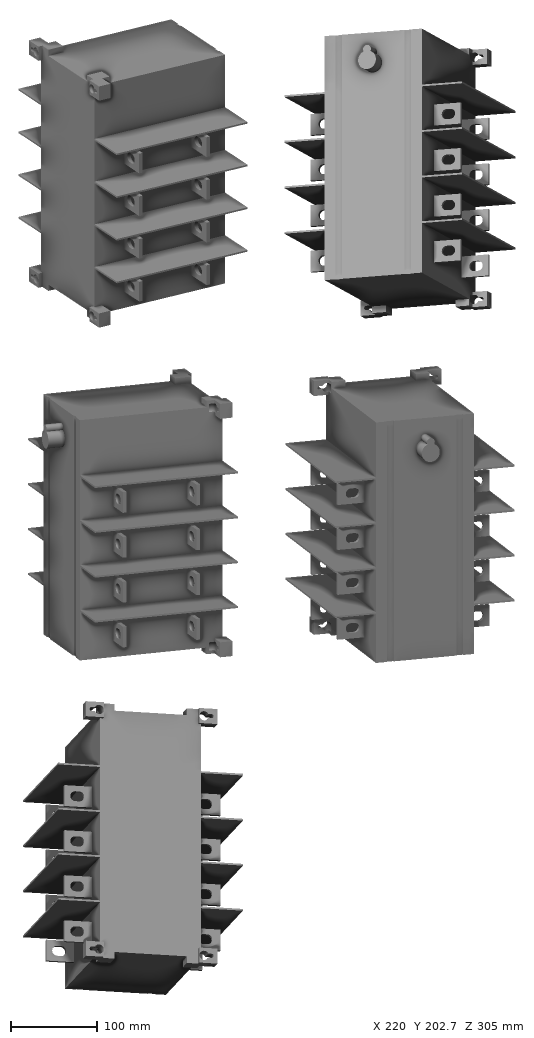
import cadquery as cq


overall_height = 305.0
shelf_span = 220.0

body_width = 120.2
body_depth = 177.0
foot_rise = 8.0
body_height = overall_height - 2 * foot_rise

pole_count = 4
pole_pitch = 54.0
shelf_thickness = 2.0
top_shelf_z = 77.2

terminal_span = 186.0
terminal_height = 25.0
terminal_thickness = 4.5
terminal_rows_y = (42.7, 134.0)
terminal_hole_length = 16.5
terminal_hole_height = 12.0
terminal_hole_spacing = 152.5
terminal_hole_shift = -1.5

foot_span = 156.8
foot_gap = 86.3
foot_height = 18.0
foot_projection = 5.2
ear_inner_x = 56.7
ear_rear_y = 10.0
foot_rear_y = 20.0
keyhole_radius = 5.5
keyhole_x = 62.5
keyhole_tip_x = 73.8
keyhole_slot_width = 5.0
keyhole_rear_y = 17.0

groove_width = 8.2
groove_depth = 1.2
groove_x = 42.7

shaft_radius = 11.0
shaft_length = 20.5
shaft_z = 108.0
pointer_radius = 5.0
pointer_tip_z = 125.7

SIDES = (-1, 1)


def block(x_range, y_range, z_range):
    """Box between opposite corners, with each range in either order."""
    ranges = (x_range, y_range, z_range)
    sizes = [abs(end - start) for start, end in ranges]
    centre = tuple((start + end) / 2 for start, end in ranges)
    return cq.Workplane("XY").box(*sizes).translate(centre)


def y_cylinder(x, z, radius, y_start, y_end):
    """Cylinder along Y."""
    face = cq.Workplane("XZ", origin=(x, y_start, z))
    return face.circle(radius).extrude(y_start - y_end)


def housing():
    body = cq.Workplane("XY").box(body_width, body_depth, body_height)
    return body.translate((0, body_depth / 2, 0))


def shelves():
    """Full-width plates: one above each pole."""
    centres = [(0, body_depth / 2, top_shelf_z - pole * pole_pitch) for pole in range(pole_count)]
    return cq.Workplane("XY").pushPoints(centres).box(shelf_span, body_depth, shelf_thickness)


def terminal_bar(y, z):
    """Bar crossing the housing, with a slotted tab at each end."""
    bar = cq.Workplane("XY").box(terminal_span, terminal_thickness, terminal_height)
    holes = (
        cq.Workplane("XZ")
        .center(terminal_hole_shift, 0)
        .rarray(terminal_hole_spacing, 3, 2, 1)
        .slot2D(terminal_hole_length, terminal_hole_height)
        .extrude(terminal_thickness, both=True)
    )
    return bar.cut(holes).translate((0, y, z))


def foot(side, level):
    """L-shaped corner foot; side and level pick the corner in X and Z."""
    z_outer = level * overall_height / 2
    z_inner = level * (overall_height / 2 - foot_height)
    ear = block(
        (side * ear_inner_x, side * foot_span / 2),
        (-foot_projection, ear_rear_y),
        (z_inner, z_outer),
    )
    root = block(
        (side * foot_gap / 2, side * body_width / 2),
        (0, foot_rear_y),
        (z_inner, z_outer),
    )
    return ear.union(root)


def keyhole(side, level):
    """Cutter for a foot: round head reaching into the housing, and a narrow round-ended slot outwards."""
    z = level * (overall_height - foot_height) / 2
    slot_end_radius = keyhole_slot_width / 2
    slot_end_x = keyhole_tip_x - slot_end_radius
    head = y_cylinder(side * keyhole_x, z, keyhole_radius, -foot_projection, keyhole_rear_y)
    slot = block(
        (side * keyhole_x, side * slot_end_x),
        (-foot_projection, ear_rear_y),
        (z - slot_end_radius, z + slot_end_radius),
    )
    slot_end = y_cylinder(side * slot_end_x, z, slot_end_radius, -foot_projection, ear_rear_y)
    return head.union(slot).union(slot_end)


def groove(side):
    """Cutter running the full height of the operating face."""
    return block(
        (side * groove_x - groove_width / 2, side * groove_x + groove_width / 2),
        (body_depth - groove_depth, body_depth),
        (-body_height / 2, body_height / 2),
    )


def operating_shaft():
    y_end = body_depth + shaft_length
    shaft = y_cylinder(0, shaft_z, shaft_radius, body_depth, y_end)
    pointer = y_cylinder(0, pointer_tip_z - pointer_radius, pointer_radius, body_depth, y_end)
    return shaft.union(pointer)


result = housing().union(shelves())

for pole in range(pole_count):
    pole_z = top_shelf_z - (pole + 0.5) * pole_pitch
    for row_y in terminal_rows_y:
        result = result.union(terminal_bar(row_y, pole_z))

for side in SIDES:
    for level in SIDES:
        result = result.union(foot(side, level)).cut(keyhole(side, level))

for side in SIDES:
    result = result.cut(groove(side))

result = result.union(operating_shaft())